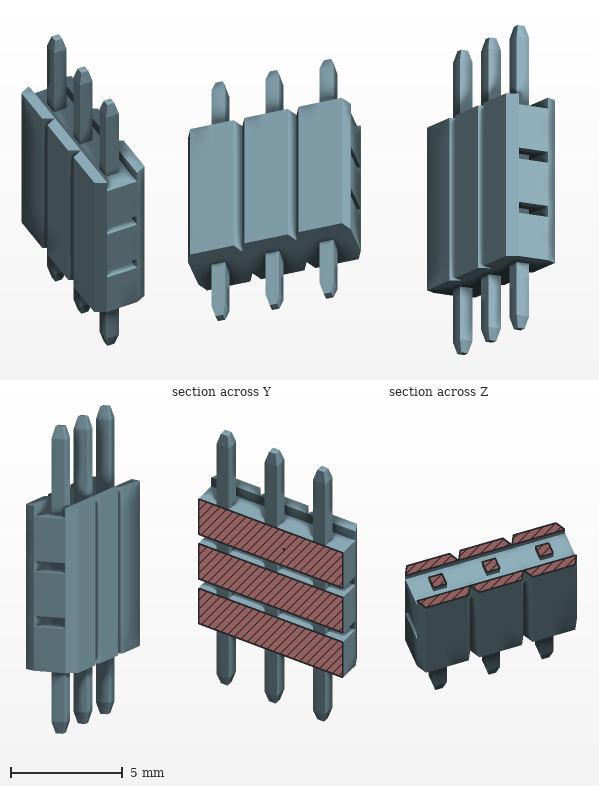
import cadquery as cq


pin_count = 3
pin_length = 14.0
pin_width = 0.65
tip_width = 0.35
tip_length = 0.56

housing_length = 7.62
housing_width = 2.53
housing_bottom = 3.0
notch_depth = 0.5
notch_half_width = 0.25

block_count = 3
block_height = 2.0
gap_height = 0.5
gap_width = 1.5

pitch = housing_length / pin_count
block_pitch = block_height + gap_height
housing_height = block_count * block_pitch


def pin_position(index):
    """X of a pin's axis, with the row centred on the origin."""
    return (index - (pin_count - 1) / 2) * pitch


def make_housing_cell(x):
    """One pitch of solid housing, with bevelled vertical corners that form the notches."""
    side = pitch / 2
    face_side = side - notch_half_width
    face = housing_width / 2
    shoulder = face - notch_depth
    outline = [
        (x - face_side, -face),
        (x + face_side, -face),
        (x + side, -shoulder),
        (x + side, shoulder),
        (x + face_side, face),
        (x - face_side, face),
        (x - side, shoulder),
        (x - side, -shoulder),
    ]
    return cq.Workplane("XY", origin=(0, 0, housing_bottom)).polyline(outline).close().extrude(housing_height)


def make_gap(index):
    """Channel along the full row, directly above one cross block."""
    gap_bottom = housing_bottom + index * block_pitch + block_height
    return cq.Workplane("XY", origin=(0, 0, gap_bottom)).box(
        housing_length, gap_width, gap_height, centered=(True, True, False)
    )


def make_pin_tip(x, shank_end, tip_end):
    """Square taper from the shank to the blunt end of the pin."""
    return (
        cq.Workplane("XY", origin=(x, 0, shank_end))
        .rect(pin_width, pin_width)
        .workplane(offset=tip_end - shank_end)
        .rect(tip_width, tip_width)
        .loft(ruled=True)
    )


def make_pin(x):
    """Square pin with a taper at both ends."""
    shank_length = pin_length - 2 * tip_length
    shank = cq.Workplane("XY", origin=(x, 0, tip_length)).rect(pin_width, pin_width).extrude(shank_length)
    lower_tip = make_pin_tip(x, tip_length, 0)
    upper_tip = make_pin_tip(x, pin_length - tip_length, pin_length)
    return shank.union(lower_tip).union(upper_tip)


housing = make_housing_cell(pin_position(0))
for i in range(1, pin_count):
    housing = housing.union(make_housing_cell(pin_position(i)))

for i in range(block_count):
    housing = housing.cut(make_gap(i))

result = housing
for i in range(pin_count):
    result = result.union(make_pin(pin_position(i)))
result = result.clean()